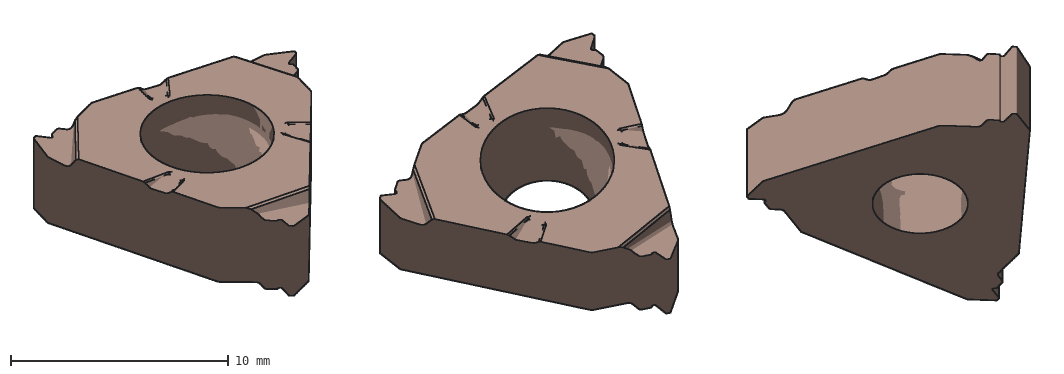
import cadquery as cq
import math

TOOTH_COUNT = 3
TOOTH_PITCH = 360 / TOOTH_COUNT
THICKNESS = 4.21
OVERCUT = 0.69

SIDE_DISTANCE = 4.75
RELIEF_DISTANCE = 5.84
FLANK_DISTANCE = 6.97
TIP_HEIGHT = 6.89
CREST_HEIGHT = 6.38
GROOVE_HEIGHT = 6.26
GROOVE_FLOOR_WIDTH = 0.12
GROOVE_EXIT_RUN = 0.08
BACK_FLANK_DISTANCE = 0.1
CREST_FLANK_DISTANCE = 0.8
SIDE_CORNER_RADIUS = 0.22
CREST_RADIUS = 0.17
CREST_ROOT_RADIUS = 0.24
TIP_RADIUS = 0.07
GROOVE_RADIUS = 0.04

HOLE_TOP_DIAMETER = 6.17
HOLE_TAPER_DIAMETER = 6.04
HOLE_TAPER_DEPTH = 1.11
BORE_DIAMETER = 4.4
BORE_DEPTH = 3.53
SEAT_FILLET_RADIUS = 0.51

RAKE_SLOPE = 0.14
SIDE_SLOPE = 0.1
CHANNEL_SKEW = 0.03
CHANNEL_X = 6.3
CHANNEL_Z = 3.73
CHANNEL_WALL_ANGLE = 60.0
CHANNEL_RADIUS = 0.35
CHANNEL_RIM_DROP = 0.08
CHANNEL_RIM_WIDTH = 0.12
CHANNEL_REACH = 5.55

NOTCH_Y = -0.24
NOTCH_TURN = -12.5
NOTCH_LENGTH = 1.35
NOTCH_DEPTH = 0.24
NOTCH_FLOOR_WIDTH = 0.83
NOTCH_WALL_ANGLE = 36.0
NOTCH_FLOOR_RADIUS = 0.3
NOTCH_RIM_DROP = 0.04
NOTCH_RIM_WIDTH = 0.1


def direction(angle):
    return cq.Vector(math.cos(math.radians(angle)), math.sin(math.radians(angle)))


def line_x(normal_angle, distance, y):
    """X at height y on the line that lies at a distance from the origin along its normal."""
    normal = direction(normal_angle)
    return (distance - normal.y * y) / normal.x


def line_crossing(angle_a, distance_a, angle_b, distance_b):
    a = direction(angle_a)
    b = direction(angle_b)
    det = a.x * b.y - a.y * b.x
    x = (distance_a * b.y - distance_b * a.y) / det
    y = (distance_b * a.x - distance_a * b.x) / det
    return x, y


def rounded_outline(workplane, corners):
    """Closed outline through (x, y, radius) corners; a zero radius leaves the corner sharp."""
    start = None
    for index, (x, y, radius) in enumerate(corners):
        corner = cq.Vector(x, y)
        before = cq.Vector(*corners[index - 1][:2])
        after = cq.Vector(*corners[(index + 1) % len(corners)][:2])
        to_before = (before - corner).normalized()
        to_after = (after - corner).normalized()
        half_angle = to_before.getAngle(to_after) / 2
        setback = radius / math.tan(half_angle)
        entry = corner + to_before * setback
        leave = corner + to_after * setback
        toward_centre = (to_before + to_after).normalized()
        middle = corner + toward_centre * (radius / math.sin(half_angle) - radius)
        if start is None:
            start = entry
            workplane = workplane.moveTo(entry.x, entry.y)
        else:
            workplane = workplane.lineTo(entry.x, entry.y)
        if radius > 0:
            workplane = workplane.threePointArc((middle.x, middle.y), (leave.x, leave.y))
    return workplane.close()


def tooth_corners():
    """One third of the outline, clockwise from the long side that faces -X."""
    flank_start = line_crossing(180, SIDE_DISTANCE, 150, FLANK_DISTANCE)
    relief_end = line_crossing(60, SIDE_DISTANCE, 90, RELIEF_DISTANCE)
    groove_start = line_x(30, BACK_FLANK_DISTANCE, GROOVE_HEIGHT)
    groove_end = groove_start + GROOVE_FLOOR_WIDTH
    return [
        (*flank_start, SIDE_CORNER_RADIUS),
        (line_x(150, FLANK_DISTANCE, TIP_HEIGHT), TIP_HEIGHT, TIP_RADIUS),
        (line_x(30, BACK_FLANK_DISTANCE, TIP_HEIGHT), TIP_HEIGHT, TIP_RADIUS),
        (groove_start, GROOVE_HEIGHT, GROOVE_RADIUS),
        (groove_end, GROOVE_HEIGHT, GROOVE_RADIUS),
        (groove_end + GROOVE_EXIT_RUN, CREST_HEIGHT, GROOVE_RADIUS),
        (line_x(30, CREST_FLANK_DISTANCE, CREST_HEIGHT), CREST_HEIGHT, CREST_RADIUS),
        (line_x(30, CREST_FLANK_DISTANCE, RELIEF_DISTANCE), RELIEF_DISTANCE, CREST_ROOT_RADIUS),
        (*relief_end, SIDE_CORNER_RADIUS),
    ]


def make_body():
    corners = []
    for index in range(TOOTH_COUNT):
        axis = direction(-index * TOOTH_PITCH)
        for x, y, radius in tooth_corners():
            corners.append((x * axis.x - y * axis.y, x * axis.y + y * axis.x, radius))
    return rounded_outline(cq.Workplane("XY"), corners).extrude(THICKNESS)


def make_hole():
    """Tapered entry, curved screw seat tangent to the bore, then the bore."""
    top_radius = HOLE_TOP_DIAMETER / 2
    entry_radius = HOLE_TAPER_DIAMETER / 2
    bore_radius = BORE_DIAMETER / 2
    seat_z = THICKNESS - HOLE_TAPER_DEPTH
    bore_z = THICKNESS - BORE_DEPTH
    run = entry_radius - bore_radius
    rise = seat_z - bore_z
    seat_radius = (run**2 + rise**2) / (2 * run)
    half_sweep = math.atan2(run, rise)
    seat_middle = (
        bore_radius + seat_radius * (1 - math.cos(half_sweep)),
        bore_z + seat_radius * math.sin(half_sweep),
    )
    hole = (
        cq.Workplane("XZ")
        .moveTo(0, 0)
        .lineTo(bore_radius, 0)
        .lineTo(bore_radius, bore_z)
        .threePointArc(seat_middle, (entry_radius, seat_z))
        .lineTo(top_radius, THICKNESS)
        .lineTo(0, THICKNESS)
        .close()
        .revolve(360, (0, 0, 0), (0, 1, 0))
    )
    seat_edge = cq.selectors.BoxSelector(
        (-top_radius, -top_radius, bore_z + rise / 2),
        (top_radius, top_radius, seat_z + rise / 2),
        boundingbox=True,
    )
    return hole.edges("%CIRCLE").edges(seat_edge).fillet(SEAT_FILLET_RADIUS)


def make_channel():
    """Prism along the channel that leaves the rake face, the rounded trough and the wall."""
    wall_slope = math.tan(math.radians(CHANNEL_WALL_ANGLE))
    height = THICKNESS + OVERCUT - CHANNEL_Z
    along = cq.Vector(-CHANNEL_SKEW, -1, SIDE_SLOPE)
    plane = cq.Plane((CHANNEL_X, 0, CHANNEL_Z), xDir=(1, -CHANNEL_SKEW, 0), normal=along)
    profile = [
        (0, 0, CHANNEL_RADIUS),
        (CHANNEL_REACH, CHANNEL_REACH * RAKE_SLOPE, 0),
        (CHANNEL_REACH, height, 0),
        (-height / wall_slope, height, 0),
    ]
    trough = rounded_outline(cq.Workplane(plane), profile).extrude(CHANNEL_REACH, both=True)

    rim_z = THICKNESS - CHANNEL_RIM_DROP
    rim_x = CHANNEL_X - (rim_z - CHANNEL_Z) / wall_slope
    rim_skew = CHANNEL_SKEW - SIDE_SLOPE / wall_slope
    rim_plane = cq.Plane((rim_x, 0, rim_z), xDir=(1, -rim_skew, 0), normal=(-rim_skew, -1, 0))
    rim = (
        cq.Workplane(rim_plane)
        .polyline([
            (0, 0),
            (CHANNEL_REACH, 0),
            (CHANNEL_REACH, CHANNEL_RIM_DROP),
            (-CHANNEL_RIM_WIDTH, CHANNEL_RIM_DROP),
        ])
        .close()
        .extrude(CHANNEL_REACH, both=True)
    )
    return trough, rim


def make_notch():
    """Flat-bottomed groove whose floor rises from the side to the top face."""
    heading = direction(NOTCH_TURN)
    slope = NOTCH_DEPTH / NOTCH_LENGTH
    run_out = (
        -SIDE_DISTANCE + NOTCH_LENGTH * heading.x,
        NOTCH_Y + NOTCH_LENGTH * heading.y,
        THICKNESS,
    )
    outward = (-heading.x, -heading.y, -slope)
    plane = cq.Plane(run_out, xDir=(heading.y, -heading.x, 0), normal=outward)
    height = NOTCH_DEPTH + OVERCUT
    length = NOTCH_LENGTH + OVERCUT
    wall_slope = math.tan(math.radians(NOTCH_WALL_ANGLE))
    half_floor = NOTCH_FLOOR_WIDTH / 2
    half_top = half_floor + height / wall_slope
    profile = [
        (-half_floor, 0, NOTCH_FLOOR_RADIUS),
        (half_floor, 0, NOTCH_FLOOR_RADIUS),
        (half_top, height, 0),
        (-half_top, height, 0),
    ]
    groove = rounded_outline(cq.Workplane(plane), profile).extrude(length)

    rim_start = NOTCH_RIM_DROP / slope - NOTCH_RIM_WIDTH
    widening = NOTCH_RIM_WIDTH - NOTCH_RIM_DROP / wall_slope
    half_start = half_floor + rim_start * slope / wall_slope + widening
    half_mouth = half_floor + length * slope / wall_slope + widening
    rim_plane = cq.Plane(run_out, xDir=(heading.y, -heading.x, 0), normal=(0, 0, -1))
    rim = (
        cq.Workplane(rim_plane)
        .polyline([
            (-half_start, rim_start),
            (half_start, rim_start),
            (half_mouth, length),
            (-half_mouth, length),
        ])
        .close()
        .extrude(NOTCH_RIM_DROP, taper=math.degrees(math.atan2(NOTCH_RIM_WIDTH, NOTCH_RIM_DROP)))
    )
    return groove, rim


result = make_body().cut(make_hole())
for index in range(TOOTH_COUNT):
    for cutter in (*make_channel(), *make_notch()):
        result = result.cut(cutter.rotate((0, 0, 0), (0, 0, 1), index * TOOTH_PITCH))